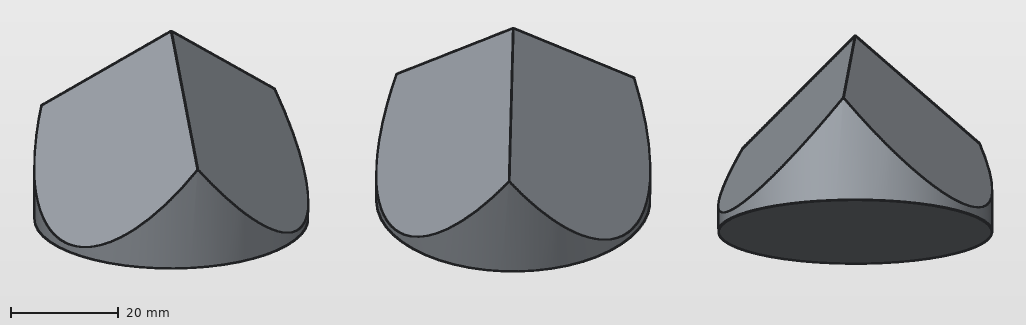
import cadquery as cq
import math

diameter = 50.8
height = 37.4
ridge_azimuth = -18.2
bevel = 0.1

cube_side = 2 * diameter
apex_loss = 2 * bevel / math.sqrt(3)


def corner_cube():
    """Cube with one bevelled corner at the apex and its body diagonal pointing down."""
    cube = cq.Workplane("XY").box(cube_side, cube_side, cube_side, centered=False)

    middle = cube_side / 2
    x_edge = cq.selectors.NearestToPointSelector((middle, 0, 0))
    y_edge = cq.selectors.NearestToPointSelector((0, middle, 0))
    z_edge = cq.selectors.NearestToPointSelector((0, 0, middle))
    cube = cube.edges(x_edge + y_edge + z_edge).chamfer(bevel)

    diagonal_tilt = math.degrees(math.atan(math.sqrt(2)))
    cube = cube.rotate((0, 0, 0), (0, 0, 1), -45)
    cube = cube.rotate((0, 0, 0), (0, 1, 0), 180 - diagonal_tilt)
    cube = cube.rotate((0, 0, 0), (0, 0, 1), ridge_azimuth)
    return cube.translate((0, 0, height + apex_loss))


body = cq.Workplane("XY").circle(diameter / 2).extrude(height)
body = body.faces("<Z").chamfer(bevel)
result = body.intersect(corner_cube())